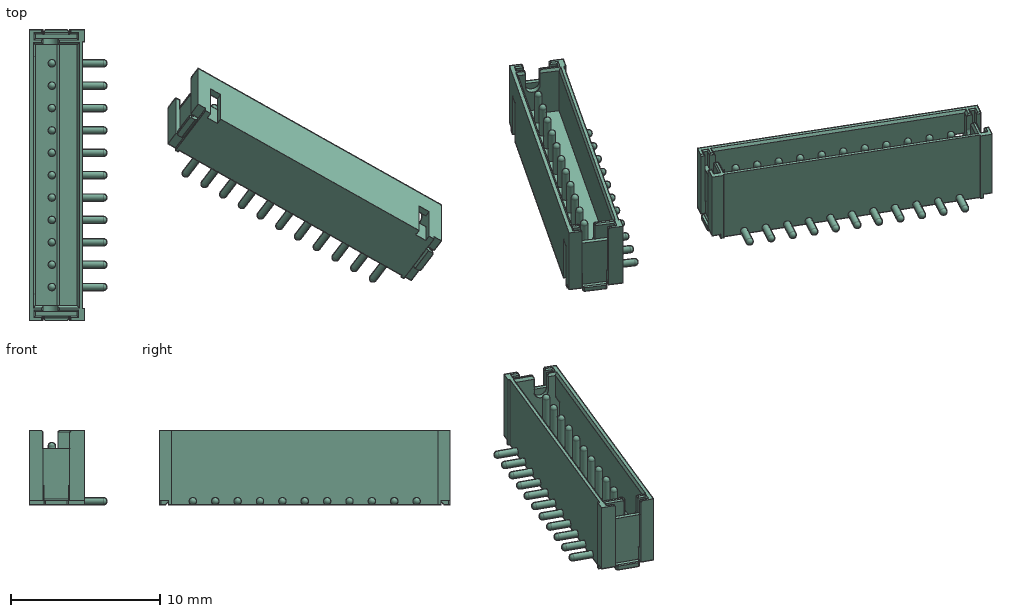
import cadquery as cq

BODY_WIDTH = 3.7
BODY_LENGTH = 19.5
BODY_HEIGHT = 5.0
MID_Y = BODY_LENGTH / 2

RELIEF_DEPTH = 0.13
PAD_LENGTH = 0.82

PIN_COUNT = 11
PIN_PITCH = 1.5
PIN_RADIUS = 0.25
PIN_X = 1.5
PIN_TOP = 4.2
PIN_END_X = 5.2

WALL = 0.4
END_WALL = 1.0
FLOOR_Z = 1.8
CAVITY_WIDTH = 2.8
CAVITY_RIGHT = WALL + CAVITY_WIDTH
MID_X = WALL + CAVITY_WIDTH / 2
CAVITY_LENGTH = BODY_LENGTH - 2 * END_WALL
STEP_X = 1.85
STEP_RUN = 0.15
TRENCH_Z = 1.5

CAVITY_RIM_RUN = 0.14
CAVITY_RIM_DROP = 0.19
SLOT_RIM = 0.1

CLIP_OUTER_Y = 0.3
CLIP_INNER_Y = 0.6
CLIP_THICKNESS = CLIP_INNER_Y - CLIP_OUTER_Y
CLIP_MID_Y = (CLIP_OUTER_Y + CLIP_INNER_Y) / 2
CLIP_TOP = 3.8
CLIP_SHOULDER_Z = 1.3
CLIP_NECK_WIDTH = 1.65
INNER_BEND_RUN = 0.12
INNER_BEND_RISE = 0.09
OUTER_BEND = 0.2
FOOT_CORNER = 0.1

END_OPENING_WIDTH = 1.8
END_OPENING_LEFT = MID_X - END_OPENING_WIDTH / 2
NOTCH_RADIUS = 0.5
NOTCH_X = END_OPENING_LEFT + NOTCH_RADIUS
NOTCH_CENTER_Z = 3.8

FOOT_HEIGHT = 0.3

WINDOW_LENGTH = 0.8
WINDOW_TOP = 3.2


def block(x0, x1, y0, y1, z0, z1):
    return cq.Workplane("XY").box(x1 - x0, y1 - y0, z1 - z0, centered=False).translate((x0, y0, z0))


def rim_bevel(center_x, center_y, width, length, run_x, run_y, drop):
    """Flared cutter that widens a rectangular opening towards the top of the housing."""
    return (
        cq.Workplane("XY", origin=(center_x, center_y, BODY_HEIGHT - drop))
        .rect(width, length)
        .workplane(offset=drop)
        .rect(width + 2 * run_x, length + 2 * run_y)
        .loft()
    )


def both_ends(shape):
    """The shape at the -Y end together with its mirror image at the +Y end."""
    return shape.union(shape.mirror("XZ", (0, MID_Y, 0)))


def make_body():
    body = block(0, BODY_WIDTH, 0, BODY_LENGTH, 0, BODY_HEIGHT)
    relief_x = BODY_WIDTH - RELIEF_DEPTH
    relief = block(relief_x, BODY_WIDTH, PAD_LENGTH, BODY_LENGTH - PAD_LENGTH, 0, BODY_HEIGHT)
    return body.cut(relief)


def make_cavity():
    cavity = block(WALL, CAVITY_RIGHT, END_WALL, BODY_LENGTH - END_WALL, FLOOR_Z, BODY_HEIGHT)
    run = CAVITY_RIM_RUN
    bevel = rim_bevel(MID_X, MID_Y, CAVITY_WIDTH, CAVITY_LENGTH, run, run, CAVITY_RIM_DROP)
    trench_outline = [
        (STEP_X, FLOOR_Z),
        (STEP_X + STEP_RUN, TRENCH_Z),
        (CAVITY_RIGHT, TRENCH_Z),
        (CAVITY_RIGHT, FLOOR_Z),
    ]
    trench = (
        cq.Workplane("XZ", origin=(0, END_WALL, 0)).polyline(trench_outline).close().extrude(-CAVITY_LENGTH)
    )
    return cavity.union(bevel).union(trench)


def make_clip_slot():
    slot = block(WALL, CAVITY_RIGHT, CLIP_OUTER_Y, CLIP_INNER_Y, CLIP_TOP, BODY_HEIGHT)
    bevel = rim_bevel(MID_X, CLIP_MID_Y, CAVITY_WIDTH, CLIP_THICKNESS, SLOT_RIM, SLOT_RIM, SLOT_RIM)
    return slot.union(bevel)


def make_end_opening():
    """Gap in the outer end wall that exposes the hold-down, deepened around its neck."""
    right = END_OPENING_LEFT + END_OPENING_WIDTH
    gap = block(END_OPENING_LEFT, right, 0, CLIP_OUTER_Y, 0, BODY_HEIGHT)
    bevel = rim_bevel(MID_X, CLIP_OUTER_Y / 2, END_OPENING_WIDTH, CLIP_OUTER_Y, SLOT_RIM, 0, SLOT_RIM)
    neck_room = block(END_OPENING_LEFT, right, 0, CLIP_INNER_Y, 0, CLIP_SHOULDER_Z)
    return gap.union(bevel).union(neck_room)


def make_notch():
    """Round-bottomed notch through the inner end wall."""
    depth = END_WALL - CLIP_INNER_Y
    width = 2 * NOTCH_RADIUS
    mid_y = (END_WALL + CLIP_INNER_Y) / 2
    left = NOTCH_X - NOTCH_RADIUS
    straight = block(left, left + width, CLIP_INNER_Y, END_WALL, NOTCH_CENTER_Z, BODY_HEIGHT)
    round_bottom = (
        cq.Workplane("XZ", origin=(NOTCH_X, CLIP_INNER_Y, NOTCH_CENTER_Z))
        .circle(NOTCH_RADIUS)
        .extrude(-depth)
    )
    bevel = rim_bevel(NOTCH_X, mid_y, width, depth, SLOT_RIM, 0, SLOT_RIM)
    return straight.union(round_bottom).union(bevel)


def make_window():
    """Slot in the -X wall, open at the bottom and reaching into the cavity."""
    return block(0, WALL, END_WALL, END_WALL + WINDOW_LENGTH, 0, WINDOW_TOP)


def make_foot_clearance():
    return block(0, BODY_WIDTH, 0, CLIP_INNER_Y, 0, FOOT_HEIGHT)


def make_clip():
    """Plate with a narrow neck that bends outwards into a soldering foot."""
    plate = block(WALL, CAVITY_RIGHT, CLIP_OUTER_Y, CLIP_INNER_Y, CLIP_SHOULDER_Z, CLIP_TOP)
    neck_left = MID_X - CLIP_NECK_WIDTH / 2
    neck_outline = [
        (CLIP_OUTER_Y, CLIP_SHOULDER_Z),
        (CLIP_OUTER_Y, FOOT_HEIGHT + INNER_BEND_RISE),
        (CLIP_OUTER_Y - INNER_BEND_RUN, FOOT_HEIGHT),
        (0, FOOT_HEIGHT),
        (0, 0),
        (CLIP_INNER_Y - OUTER_BEND, 0),
        (CLIP_INNER_Y, OUTER_BEND),
        (CLIP_INNER_Y, CLIP_SHOULDER_Z),
    ]
    neck = (
        cq.Workplane("YZ", origin=(neck_left, 0, 0))
        .polyline(neck_outline)
        .close()
        .extrude(CLIP_NECK_WIDTH)
        .edges("|Z and <Y")
        .chamfer(FOOT_CORNER)
    )
    return plate.union(neck)


def make_pin(y):
    """Upright leg through the cavity and a horizontal leg leaving on the +X side."""
    axis_z = PIN_RADIUS
    dome_z = PIN_TOP - PIN_RADIUS
    dome_x = PIN_END_X - PIN_RADIUS
    corner = (PIN_X, y, axis_z)
    upright = cq.Workplane("XY", origin=corner).circle(PIN_RADIUS).extrude(dome_z - axis_z)
    tail = cq.Workplane("YZ", origin=corner).circle(PIN_RADIUS).extrude(dome_x - PIN_X)
    ball = cq.Workplane("XY").sphere(PIN_RADIUS)
    pin = upright.union(tail)
    for ball_center in (corner, (PIN_X, y, dome_z), (dome_x, y, axis_z)):
        pin = pin.union(ball.translate(ball_center))
    return pin


housing = make_body().cut(make_cavity())
for make_cutter in (make_clip_slot, make_end_opening, make_notch, make_window, make_foot_clearance):
    housing = housing.cut(both_ends(make_cutter()))

result = housing.union(both_ends(make_clip()))
first_pin_y = MID_Y - PIN_PITCH * (PIN_COUNT - 1) / 2
for pin_index in range(PIN_COUNT):
    result = result.union(make_pin(first_pin_y + PIN_PITCH * pin_index))